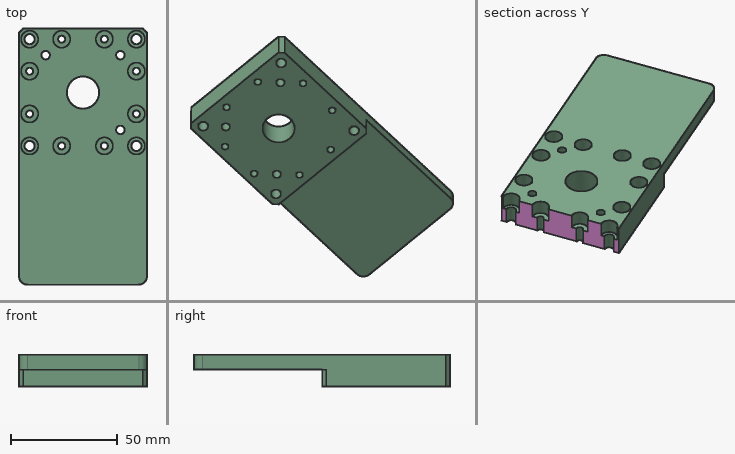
import cadquery as cq

WIDTH = 60.0
LENGTH = 120.0
HEIGHT = 15.0
BLOCK_LENGTH = 60.0
BLOCK_HEIGHT = 8.0
PLATE_THICKNESS = HEIGHT - BLOCK_HEIGHT
CORNER_CHAMFER = 2.0
CORNER_RADIUS = 4.0

BORE_DIAMETER = 15.0
OUTER_OFFSET = 25.0
INNER_OFFSET = 10.0
CORNER_HOLE_DIAMETER = 4.65
SIDE_HOLE_DIAMETER = 3.2
COUNTERBORE_DIAMETER = 8.0
COUNTERBORE_DEPTH = PLATE_THICKNESS
PLAIN_HOLE_OFFSET = 17.5
PLAIN_HOLE_DIAMETER = 3.9

BACK_Y = BLOCK_LENGTH / 2
PLATE_CENTER_Y = BACK_Y - LENGTH / 2
SIGNS = (-1, 1)


def make_block():
    """Thick square end, with all four upright edges chamfered."""
    block = cq.Workplane("XY").box(WIDTH, BLOCK_LENGTH, BLOCK_HEIGHT, centered=(True, True, False))
    return block.edges("|Z").chamfer(CORNER_CHAMFER)


def make_plate():
    """Full-length plate, chamfered at the back corners and rounded at the front ones."""
    plate = (
        cq.Workplane("XY", origin=(0, PLATE_CENTER_Y, BLOCK_HEIGHT))
        .box(WIDTH, LENGTH, PLATE_THICKNESS, centered=(True, True, False))
    )
    plate = plate.edges("|Z and >Y").chamfer(CORNER_CHAMFER)
    return plate.edges("|Z and <Y").fillet(CORNER_RADIUS)


def square_corners(offset):
    """Four corner points of a square centred on the bore."""
    return [(x * offset, y * offset) for x in SIGNS for y in SIGNS]


def side_points():
    """Two points along each side of the outer hole square."""
    points = []
    for outer in SIGNS:
        for inner in SIGNS:
            points.append((outer * OUTER_OFFSET, inner * INNER_OFFSET))
            points.append((inner * INNER_OFFSET, outer * OUTER_OFFSET))
    return points


def top_points(body, points):
    """Place points on the top face, measured from the bore axis."""
    return body.faces(">Z").workplane(origin=(0, 0, HEIGHT)).pushPoints(points)


def cut_counterbored(body, points, diameter):
    return top_points(body, points).cboreHole(diameter, COUNTERBORE_DIAMETER, COUNTERBORE_DEPTH)


def cut_plain_holes(body):
    """Plain through holes at three corners; the front left corner has none."""
    front_left = (-PLAIN_HOLE_OFFSET, -PLAIN_HOLE_OFFSET)
    points = [point for point in square_corners(PLAIN_HOLE_OFFSET) if point != front_left]
    return top_points(body, points).hole(PLAIN_HOLE_DIAMETER)


body = make_plate().union(make_block())
body = top_points(body, [(0, 0)]).hole(BORE_DIAMETER)
body = cut_counterbored(body, square_corners(OUTER_OFFSET), CORNER_HOLE_DIAMETER)
body = cut_counterbored(body, side_points(), SIDE_HOLE_DIAMETER)
result = cut_plain_holes(body)